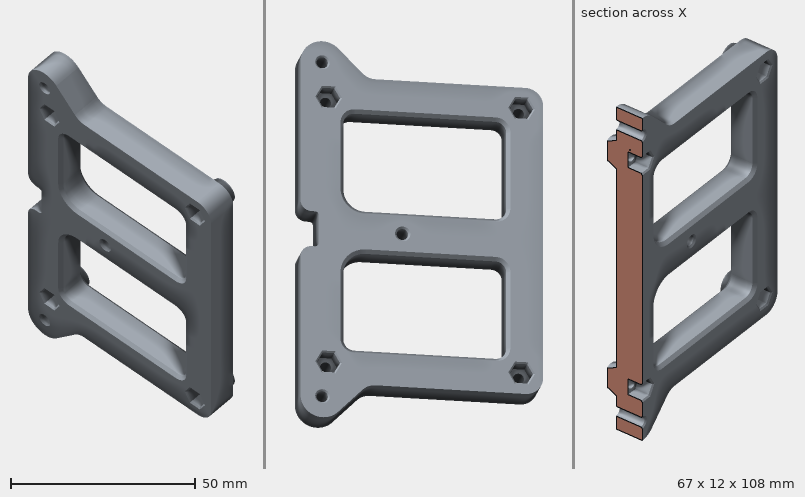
import cadquery as cq
import math

length = 108.0
width = 67.0
total_depth = 12.0
boss_height = 3.0
thickness = total_depth - boss_height
body_half_height = 44.0
body_corner_radius = 5.0

ear_radius = 6.0
ear_center_z = length / 2 - ear_radius
flank_fillet = 5.0

notch_depth = 5.0
notch_height = 10.0
notch_mouth_radius = 3.0
notch_root_radius = 1.0

window_left = 12.0
window_right = 56.9
window_inner_z = 6.0
window_outer_z = 34.0
window_radius = 3.0
window_large_radius = 6.0
window_chamfer = 1.0

screw_diameter = 3.1
ear_hole_chamfer = 0.4
web_hole_chamfer = 0.5
web_hole_x = 28.2

boss_left_x = 7.8
boss_spacing_x = 53.2
boss_z = 38.0
boss_base_diameter = 10.3
boss_top_diameter = 7.7
boss_rim_height = 0.3
boss_hole_diameter = 3.0
nut_flats = 5.5
nut_depth = 5.0
nut_chamfer = 0.4

flats_to_corners = 1 / math.cos(math.radians(30))
boss_points = [(x, z) for x in (boss_left_x, boss_left_x + boss_spacing_x) for z in (-boss_z, boss_z)]


def front_plane():
    """Sketch plane on the front face: local axes are X and Z, negative extrusion runs toward +Y."""
    return cq.Workplane(cq.Plane(origin=(0, 0, 0), xDir=(1, 0, 0), normal=(0, -1, 0)))


def depth_edge_at(x, z):
    """Selector for the edge along Y that passes through (x, z)."""
    return cq.selectors.NearestToPointSelector((x, thickness / 2, z))


def make_plate():
    """Plate outline with ears and notch, all corners rounded, without openings."""
    diagonal = ear_radius / math.sqrt(2)
    tangent_x = ear_radius + diagonal
    tangent_z = ear_center_z + diagonal
    flank_foot_x = tangent_x + tangent_z - body_half_height
    half_notch = notch_height / 2

    plate = (
        front_plane()
        .moveTo(0, -ear_center_z)
        .threePointArc((ear_radius, -length / 2), (tangent_x, -tangent_z))
        .lineTo(flank_foot_x, -body_half_height)
        .lineTo(width, -body_half_height)
        .lineTo(width, body_half_height)
        .lineTo(flank_foot_x, body_half_height)
        .lineTo(tangent_x, tangent_z)
        .threePointArc((ear_radius, length / 2), (0, ear_center_z))
        .lineTo(0, half_notch)
        .lineTo(notch_depth, half_notch)
        .lineTo(notch_depth, -half_notch)
        .lineTo(0, -half_notch)
        .close()
        .extrude(-thickness)
    )
    rounded_corners = [
        (width, body_half_height, body_corner_radius),
        (flank_foot_x, body_half_height, flank_fillet),
        (0, half_notch, notch_mouth_radius),
        (notch_depth, half_notch, notch_root_radius),
    ]
    for x, z, radius in rounded_corners:
        for side in (-1, 1):
            plate = plate.edges(depth_edge_at(x, side * z)).fillet(radius)
    return plate


def make_window():
    """Straight-walled cutter for the upper window."""
    window = (
        front_plane()
        .moveTo(window_left, window_inner_z)
        .lineTo(window_right, window_inner_z)
        .lineTo(window_right, window_outer_z)
        .lineTo(window_left, window_outer_z)
        .close()
        .extrude(-thickness)
    )
    window = window.edges(depth_edge_at(window_left, window_inner_z)).fillet(window_large_radius)
    for x, z in [
        (window_right, window_inner_z),
        (window_right, window_outer_z),
        (window_left, window_outer_z),
    ]:
        window = window.edges(depth_edge_at(x, z)).fillet(window_radius)
    return window


def cone(x, z, y, start_diameter, end_diameter, depth):
    """Truncated cone that runs along +Y from (x, y, z)."""
    start = cq.Vector(x, y, z)
    solid = cq.Solid.makeCone(start_diameter / 2, end_diameter / 2, depth, start, cq.Vector(0, 1, 0))
    return cq.Workplane(solid)


def countersunk_hole(x, z, chamfer):
    """Cutter for a screw hole through the plate with a 45 degree bevel at the front."""
    drill = front_plane().center(x, z).circle(screw_diameter / 2).extrude(-thickness)
    bevel = cone(x, z, 0, screw_diameter + 2 * chamfer, screw_diameter, chamfer)
    return drill.union(bevel)


def boss(x, z):
    """Conical boss on the back face that ends in a short cylindrical rim."""
    cone_height = boss_height - boss_rim_height
    body = cone(x, z, thickness, boss_base_diameter, boss_top_diameter, cone_height)
    top = body.faces(">Y").workplane(centerOption="CenterOfMass")
    return top.circle(boss_top_diameter / 2).extrude(boss_rim_height)


def boss_hole(x, z):
    """Cutter for the straight hole through the plate and a boss."""
    return front_plane().center(x, z).circle(boss_hole_diameter / 2).extrude(-total_depth)


def nut_pocket(x, z):
    """Hexagonal cutter with a bevelled mouth; two corners point along X."""
    mouth_corners = (nut_flats + 2 * nut_chamfer) * flats_to_corners
    pocket_corners = nut_flats * flats_to_corners
    pocket = front_plane().center(x, z).polygon(6, pocket_corners).extrude(-nut_depth)
    bevel = front_plane().center(x, z).polygon(6, mouth_corners).extrude(-nut_chamfer, taper=45)
    return pocket.union(bevel)


plate = make_plate()

upper_window = make_window()
for window in (upper_window, upper_window.mirror("XY")):
    plate = plate.cut(window)

margin = 0.1
window_rims = cq.selectors.BoxSelector(
    (window_left - margin, -margin, -window_outer_z - margin),
    (window_right + margin, thickness + margin, window_outer_z + margin),
)
plate = plate.faces("<Y or >Y").edges(window_rims).chamfer(window_chamfer)

plate = plate.cut(countersunk_hole(web_hole_x, 0, web_hole_chamfer))
for side in (-1, 1):
    plate = plate.cut(countersunk_hole(ear_radius, side * ear_center_z, ear_hole_chamfer))

for x, z in boss_points:
    plate = plate.union(boss(x, z))
    plate = plate.cut(nut_pocket(x, z))
    plate = plate.cut(boss_hole(x, z))

result = plate